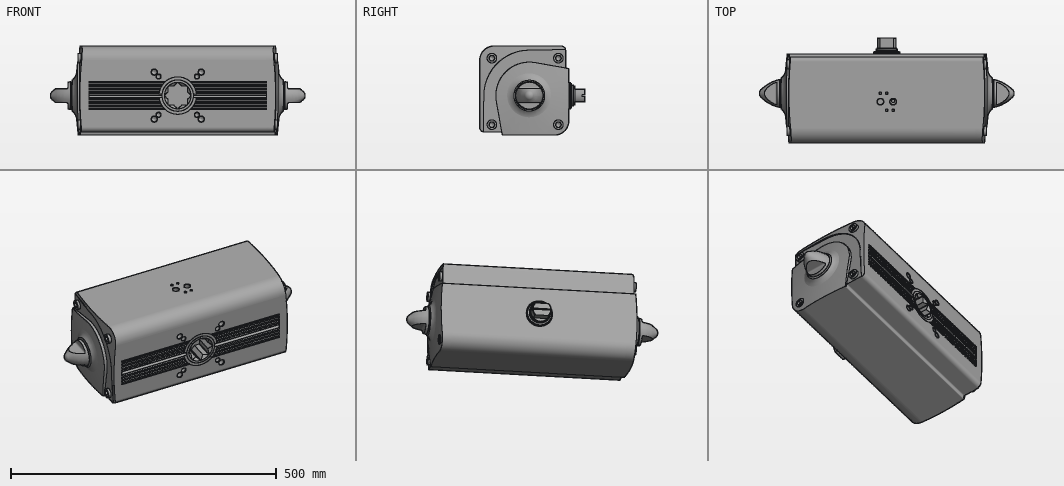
import cadquery as cq
import math


FAR_SIDE = 93.5
NEAR_SIDE = 74.5
LEDGE = 68.5
LEDGE_STEP = 52.0
FACE_START = 50.8
LARGE_RADIUS = 27.5
SMALL_RADIUS = 8.8
STEP_OUTER_RADIUS = 1.7
STEP_INNER_RADIUS = 2.6
BODY_HALF_LENGTH = 167.0

OUTER_SPHERE = 680.0
OUTER_APEX = 190.3
MIDDLE_X = 182.4
MIDDLE_RADIUS = 85.5
MIDDLE_CORNER = 86.6
INNER_SPHERE = 535.0
INNER_APEX = 192.2
INNER_RADIUS = 63.0
CAP_REACH = 140.0

HUB_BASE_RADIUS = 41.3
HUB_TOP_RADIUS = 29.0
HUB_TOP_X = 198.8
HUB_FLARE_MID = (193.6, 34.4)
NECK_DIAMETER = 40.0
NECK_WIDTH = 1.6
COLLAR_DIAMETER = 53.0
COLLAR_CHAMFER = 1.0
COLLAR_END_X = 206.5
CONE_MID = (219.5, 19.8)
TIP_X = 234.6
TIP_DIAMETER = 18.0
NOSE_END_X = 239.7
NOSE_FLAT = 13.0
NOSE_FLAT_FILLET = 3.0

SCREW_PITCH = 125.0
SCREW_CENTER = 7.85
SCREW_HEAD_DIAMETER = 18.0
SCREW_HEAD_X = 187.6
SCREW_HEX = 10.0
SCREW_HEX_DEPTH = 5.0
SCREW_POCKET = 3.0

RING_DIAMETER = 70.4
RING_RECESS = 0.3
PINION_END_DIAMETER = 59.0
STAR_SQUARE = 36.0
STAR_TIP_DIAMETER = 50.0
STAR_DEPTH = 40.0
GROOVE_DEPTH = 2.0
GROOVE_BAND = 26.5
GROOVE_RIDGES = (8.9, 16.0, 22.9)
RIDGE_BASE = 6.2
RIDGE_CREST = 2.9
CENTER_RIDGE_BASE = 10.4
CENTER_RIDGE_CREST = 7.6
CENTER_V_WIDTH = 7.2

STEM_STEPS = (
    (76.3, 49.0),
    (77.8, 50.0),
    (79.3, 46.0),
    (80.7, 37.5),
    (83.2, 40.0),
    (85.8, 36.0),
    (104.5, 35.6),
)
STEM_OVERLAP = 1.0
STEM_FLAT = 12.0
STEM_SLOT_WIDTH = 2.5
STEM_SLOT_DEPTH = 5.0
STEM_CHAMFER = 1.0

DRILL_POINT_ANGLE = 118.0
FLANGE_HOLES = (
    (125.0, 10.11, 12.0, 18.0),
    (102.0, 8.38, 10.0, 15.0),
)
PORT_Y = -15.5
PORT_X = 12.0
PORT_DIAMETER = 11.45
PORT_MOUTH = 13.0
PORT_DEPTH = 15.0
PORT_DUCT_DIAMETER = 6.0
PORT_DUCT_OFFSET = 1.5
PORT_DUCT_DEPTH = 25.0
PAD_HALF_HEIGHT = 16.0
PAD_HOLE_DIAMETER = 4.13
PAD_HOLE_MOUTH = 4.92
PAD_HOLE_DEPTH = 10.0


def swap(point):
    """Reflect a (Y, Z) point across the section's line of symmetry."""
    y, z = point
    return (-z, -y)


def polar(radius, angle):
    return (radius * math.cos(angle), radius * math.sin(angle))


def housing_section(x_start, length):
    """Housing outline extruded along +X from x_start."""
    face_edge = (NEAR_SIDE, FACE_START)
    strip_edge = (LEDGE, LEDGE_STEP)
    strip_corner = (LEDGE, FAR_SIDE)
    far_corner = (-FAR_SIDE, FAR_SIDE)
    near_corner = (NEAR_SIDE, -NEAR_SIDE)
    outline = [face_edge, strip_edge, strip_corner, far_corner]
    outline += [swap(strip_corner), swap(strip_edge), swap(face_edge), near_corner]
    block = cq.Workplane("YZ", origin=(x_start, 0, 0)).polyline(outline).close().extrude(length)

    def round_edges(solid, points, radius):
        for y, z in points:
            nearest = cq.selectors.NearestToPointSelector((x_start + length / 2, y, z))
            solid = solid.edges("|X").edges(nearest).fillet(radius)
        return solid

    block = round_edges(block, [far_corner, near_corner], LARGE_RADIUS)
    block = round_edges(block, [strip_corner, swap(strip_corner)], SMALL_RADIUS)
    block = round_edges(block, [strip_edge, swap(strip_edge)], STEP_INNER_RADIUS)
    return round_edges(block, [face_edge, swap(face_edge)], STEP_OUTER_RADIUS)


def tier_region(radius, corner):
    """Part of the cap face inside an arc about the axis and its tangents from two corners."""
    corner_angle = math.atan2(corner[1], corner[0])
    tangent = polar(radius, corner_angle + math.acos(radius / math.hypot(*corner)))
    return (
        cq.Workplane("YZ", origin=(-BODY_HALF_LENGTH, 0, 0))
        .moveTo(*corner)
        .lineTo(*tangent)
        .threePointArc(polar(radius, math.radians(135)), swap(tangent))
        .lineTo(*swap(corner))
        .lineTo(swap(corner)[0], -CAP_REACH)
        .lineTo(CAP_REACH, -CAP_REACH)
        .lineTo(CAP_REACH, corner[1])
        .close()
        .extrude(-CAP_REACH)
    )


def sphere_x(apex, sphere_radius, distance):
    """Axial position of a sphere's surface at a distance from the X axis."""
    return apex - sphere_radius + math.sqrt(sphere_radius**2 - distance**2)


def domed_blank(apex, sphere_radius):
    """Disc on the X axis whose outer (-X) face is part of a sphere."""
    half = CAP_REACH / 2
    return (
        cq.Workplane("XY")
        .moveTo(-BODY_HALF_LENGTH, 0)
        .lineTo(-apex, 0)
        .threePointArc(
            (-sphere_x(apex, sphere_radius, half), half),
            (-sphere_x(apex, sphere_radius, CAP_REACH), CAP_REACH),
        )
        .lineTo(-BODY_HALF_LENGTH, CAP_REACH)
        .close()
        .revolve(360, (0, 0, 0), (1, 0, 0))
    )


def hub_and_nose():
    """Flared hub, necked collar and rounded cone with two flats, along -X."""
    hub_base_x = sphere_x(INNER_APEX, INNER_SPHERE, HUB_BASE_RADIUS)
    neck_end_x = HUB_TOP_X + NECK_WIDTH
    collar_radius = COLLAR_DIAMETER / 2
    tip_radius = TIP_DIAMETER / 2
    tip_height = NOSE_END_X - TIP_X
    tip_sphere = (tip_radius**2 + tip_height**2) / (2 * tip_height)
    tip_mid = polar(tip_sphere, math.asin(tip_radius / tip_sphere) / 2)
    nose = (
        cq.Workplane("XY")
        .moveTo(-BODY_HALF_LENGTH, 0)
        .lineTo(-BODY_HALF_LENGTH, HUB_BASE_RADIUS)
        .lineTo(-hub_base_x, HUB_BASE_RADIUS)
        .threePointArc((-HUB_FLARE_MID[0], HUB_FLARE_MID[1]), (-HUB_TOP_X, HUB_TOP_RADIUS))
        .lineTo(-HUB_TOP_X, NECK_DIAMETER / 2)
        .lineTo(-neck_end_x, NECK_DIAMETER / 2)
        .lineTo(-neck_end_x, collar_radius - COLLAR_CHAMFER)
        .lineTo(-neck_end_x - COLLAR_CHAMFER, collar_radius)
        .threePointArc((-CONE_MID[0], CONE_MID[1]), (-TIP_X, tip_radius))
        .threePointArc((tip_sphere - NOSE_END_X - tip_mid[0], tip_mid[1]), (-NOSE_END_X, 0))
        .close()
        .revolve(360, (0, 0, 0), (1, 0, 0))
    )
    flat_cut = (
        cq.Workplane("XZ")
        .rect(NOSE_END_X - COLLAR_END_X, COLLAR_DIAMETER - NOSE_FLAT)
        .extrude(COLLAR_DIAMETER / 2, both=True)
        .edges(">X and <Z")
        .fillet(NOSE_FLAT_FILLET)
        .translate((-(NOSE_END_X + COLLAR_END_X) / 2, 0, (COLLAR_DIAMETER + NOSE_FLAT) / 2))
    )
    return nose.cut(flat_cut).cut(flat_cut.mirror("XY"))


def fit_cap_screws(cap):
    """Add the four socket screw heads, with a clear pocket in front and a conical socket floor."""
    head = cq.Workplane("XY").circle(SCREW_HEAD_DIAMETER / 2).extrude(BODY_HALF_LENGTH - SCREW_HEAD_X)
    pocket = cq.Workplane("XY").circle(SCREW_HEAD_DIAMETER / 2).extrude(SCREW_POCKET)
    corners = SCREW_HEX / math.cos(math.radians(30))
    socket = cq.Workplane("XY").transformed(rotate=(0, 0, 90)).polygon(6, corners).extrude(-SCREW_HEX_DEPTH)
    floor = cq.Workplane(drill_point(SCREW_HEX)).translate((0, 0, -SCREW_HEX_DEPTH))

    def place(shape, side_y, side_z):
        y = -SCREW_CENTER + side_y * SCREW_PITCH / 2
        z = SCREW_CENTER + side_z * SCREW_PITCH / 2
        return shape.rotate((0, 0, 0), (0, 1, 0), -90).translate((-SCREW_HEAD_X, y, z))

    for side_y in (-1, 1):
        for side_z in (-1, 1):
            cap = cap.union(place(head, side_y, side_z))
            for cutter in (pocket, socket, floor):
                cap = cap.cut(place(cutter, side_y, side_z))
    return cap


def end_cap():
    """The cap at -X, with its tiers, hub, nose and screws."""
    blank = housing_section(-BODY_HALF_LENGTH - CAP_REACH, CAP_REACH)
    inner = tier_region(INNER_RADIUS, (NEAR_SIDE, FACE_START))
    middle = tier_region(MIDDLE_RADIUS, (LEDGE, MIDDLE_CORNER))
    cap = blank.intersect(domed_blank(OUTER_APEX, OUTER_SPHERE)).cut(middle).cut(inner)
    plate = housing_section(-MIDDLE_X, MIDDLE_X - BODY_HALF_LENGTH)
    cap = cap.union(plate.intersect(middle).cut(inner))
    cap = cap.union(blank.intersect(inner).intersect(domed_blank(INNER_APEX, INNER_SPHERE)))
    return fit_cap_screws(cap.union(hub_and_nose()))


def drill_point(diameter):
    """Cone of a drill point, base on the XY plane and apex towards -Z."""
    radius = diameter / 2
    height = radius / math.tan(math.radians(DRILL_POINT_ANGLE / 2))
    return cq.Solid.makeCone(radius, 0, height, dir=cq.Vector(0, 0, -1))


def drilled_hole(diameter, mouth, depth, pointed=True):
    """Cutter for a hole going down from the XY plane, with a 45 degree chamfered mouth."""
    cutter = cq.Workplane("XY").circle(diameter / 2).extrude(-depth)
    chamfer_depth = (mouth - diameter) / 2
    chamfer = cq.Solid.makeCone(mouth / 2, diameter / 2, chamfer_depth, dir=cq.Vector(0, 0, -1))
    cutter = cutter.union(cq.Workplane(chamfer))
    if pointed:
        cutter = cutter.union(cq.Workplane(drill_point(diameter)).translate((0, 0, -depth)))
    return cutter


def groove_band():
    """Cutter for the ribbed band of the front face, stopping at the pinion ring."""
    length = 2 * BODY_HALF_LENGTH
    band = cq.Workplane("XY").box(length, GROOVE_DEPTH, 2 * GROOVE_BAND)
    ridges = [(0, CENTER_RIDGE_BASE, CENTER_RIDGE_CREST)]
    for height in GROOVE_RIDGES:
        ridges.append((height, RIDGE_BASE, RIDGE_CREST))
        ridges.append((-height, RIDGE_BASE, RIDGE_CREST))
    for height, base, crest in ridges:
        ridge = (
            cq.Workplane("YZ", origin=(-length / 2, 0, height))
            .polyline(
                [
                    (GROOVE_DEPTH / 2, base / 2),
                    (-GROOVE_DEPTH / 2, crest / 2),
                    (-GROOVE_DEPTH / 2, -crest / 2),
                    (GROOVE_DEPTH / 2, -base / 2),
                ]
            )
            .close()
            .extrude(length)
        )
        band = band.cut(ridge)
    ring = cq.Workplane("XZ").circle(RING_DIAMETER / 2).extrude(GROOVE_DEPTH, both=True)
    return band.cut(ring).translate((0, GROOVE_DEPTH / 2 - FAR_SIDE, 0))


def center_groove():
    """Cutter for the V groove that crosses the ring and stops at the pinion."""
    half = CENTER_V_WIDTH / 2
    groove = (
        cq.Workplane("YZ", origin=(-BODY_HALF_LENGTH, -FAR_SIDE, 0))
        .polyline([(0, half), (half, 0), (0, -half)])
        .close()
        .extrude(2 * BODY_HALF_LENGTH)
    )
    pinion = cq.Workplane("XZ", origin=(0, -FAR_SIDE, 0)).circle(PINION_END_DIAMETER / 2).extrude(-half)
    return groove.cut(pinion)


def ring_recess():
    """Cutter that sets the ring around the pinion just below the front face."""
    front = cq.Workplane("XZ", origin=(0, -FAR_SIDE, 0))
    return front.circle(RING_DIAMETER / 2).circle(PINION_END_DIAMETER / 2).extrude(-RING_RECESS)


def star_socket():
    """Cutter for the eight-pointed drive socket with its conical lead-in."""
    front = cq.Workplane("XZ", origin=(0, -FAR_SIDE, 0))
    square = front.rect(STAR_SQUARE, STAR_SQUARE).extrude(-STAR_DEPTH)
    star = square.union(square.rotate((0, 0, 0), (0, 1, 0), 45))
    tip_radius = STAR_TIP_DIAMETER / 2
    star = star.intersect(front.circle(tip_radius).extrude(-STAR_DEPTH))
    notch_radius = STAR_SQUARE / 2 / math.cos(math.radians(22.5))
    lead_in = cq.Solid.makeCone(
        tip_radius,
        notch_radius,
        tip_radius - notch_radius,
        pnt=cq.Vector(0, -FAR_SIDE, 0),
        dir=cq.Vector(0, 1, 0),
    )
    return star.union(cq.Workplane(lead_in))


def pinion_stem():
    """Stepped stem on the back face, with two flats and an end slot."""
    start = NEAR_SIDE - STEM_OVERLAP
    stem = None
    for end, diameter in STEM_STEPS:
        step = cq.Workplane("XZ", origin=(0, start, 0)).circle(diameter / 2).extrude(start - end)
        stem = step if stem is None else stem.union(step)
        start = end
    stem = stem.faces(">Y").edges().chamfer(STEM_CHAMFER)
    size = STEM_STEPS[-1][1]
    flat_length = start - STEM_STEPS[-2][0]
    for side in (-1, 1):
        flat = cq.Workplane("XY").box(size, flat_length, size)
        stem = stem.cut(flat.translate((0, start - flat_length / 2, side * (STEM_FLAT + size / 2))))
    slot = cq.Workplane("XY").box(size, STEM_SLOT_DEPTH, STEM_SLOT_WIDTH)
    return stem.cut(slot.translate((0, start - STEM_SLOT_DEPTH / 2, 0)))


def drill_flange_holes(solid):
    """Two square bolt patterns on the front face, around the pinion."""
    for bolt_circle, bore, mouth, depth in FLANGE_HOLES:
        offset = bolt_circle / 2 * math.sqrt(0.5)
        cutter = drilled_hole(bore, mouth, depth).rotate((0, 0, 0), (1, 0, 0), 90)
        for x in (-offset, offset):
            for z in (-offset, offset):
                solid = solid.cut(cutter.translate((x, -FAR_SIDE, z)))
    return solid


def drill_air_pad(solid):
    """Two air ports and four valve-mounting holes on the top face."""
    port = drilled_hole(PORT_DIAMETER, PORT_MOUTH, PORT_DEPTH, pointed=False)
    for x in (-PORT_X, PORT_X):
        solid = solid.cut(port.translate((x, PORT_Y, FAR_SIDE)))
    duct = cq.Workplane("XY", origin=(PORT_X, PORT_Y + PORT_DUCT_OFFSET, FAR_SIDE))
    solid = solid.cut(duct.circle(PORT_DUCT_DIAMETER / 2).extrude(-PORT_DUCT_DEPTH))
    mounting = drilled_hole(PAD_HOLE_DIAMETER, PAD_HOLE_MOUTH, PAD_HOLE_DEPTH)
    for x, side in ((-PORT_X, 1), (0, 1), (0, -1), (PORT_X, -1)):
        solid = solid.cut(mounting.translate((x, PORT_Y + side * PAD_HALF_HEIGHT, FAR_SIDE)))
    return solid


body = housing_section(-BODY_HALF_LENGTH, 2 * BODY_HALF_LENGTH)
body = body.cut(groove_band()).cut(center_groove()).cut(ring_recess()).cut(star_socket())
body = body.union(pinion_stem())
body = drill_flange_holes(body)
body = drill_air_pad(body)
cap = end_cap()
result = body.union(cap, clean=False).union(cap.mirror("YZ"), clean=False)